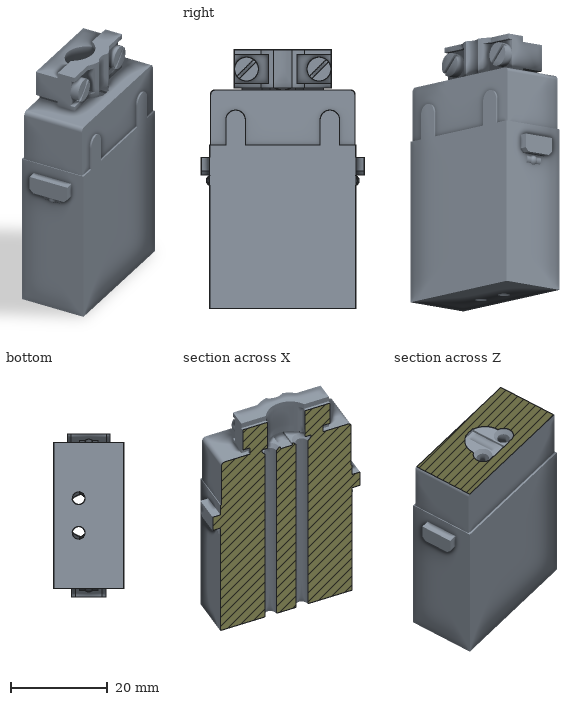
import cadquery as cq

HEIGHT = 53.65
CASE_X, CASE_Y, CASE_TOP = 14.6, 30.25, 33.9
BLOCK_X, BLOCK_Y, BLOCK_TOP = 13.75, 29.95, 45.3
BLOCK_FILLET = 0.9

CLAMP_Y = 20.1
CLAMP_LEFT = -BLOCK_X / 2
CLAMP_SPLIT = -1.65
CLAMP_RIGHT = 2.3
LOW_JAW_TOP, LOW_JAW_BOTTOM = 52.4, 46.85
HIGH_JAW_BOTTOM = 45.65
NECK_Y, NECK_RIGHT = 16.9, -1.9

BULGE_CENTER_X, BULGE_RADIUS = -3.6, 7.4
NOTCH_CENTER_X, NOTCH_RADIUS = 5.9, 3.0

LENS_HALF_Y = 4.4
LENS_LEFT, LENS_RIGHT = -5.0, 0.9
LEDGE_HEIGHT = 0.85

WELL_RADIUS = 4.2
WELL_DEPTH = 0.55
GROOVE_HALF_X, GROOVE_Y, GROOVE_DEPTH = 4.15, 2.65, 0.55
BORE_X, BORE_Y = -2.1, 3.6
BORE_RADIUS, SINK_RADIUS, SINK_DEPTH = 1.3, 2.0, 0.75

POCKET_FLOOR_X, POCKET_INNER_Y = 1.35, 2.95
POCKET_BOTTOM, POCKET_TOP = 46.6, 52.6
SCREW_Y, SCREW_RADIUS, SCREW_FACE_X = 7.5, 2.45, 3.15
SLOT_WIDTH, SLOT_DEPTH, SLOT_ANGLE = 0.7, 0.85, 45

TONGUE_Y, TONGUE_WIDTH, TONGUE_TOP = 9.75, 4.0, 41.1

LENGTH_OVER_TABS = 33.85
TAB_TOP, TAB_BOTTOM, TAB_CHAMFER = 31.35, 27.65, 0.8
FRONT_TAB_WIDTH, BACK_TAB_WIDTH = 8.9, 7.2
CATCH_Z, CATCH_LENGTH = 26.5, 3.75
CATCH_RADIUS, CATCH_INSET = 0.9, 0.55
BALL_RADIUS, BALL_INSET, BALL_WIDTH = 1.05, 0.4, 1.6


def box(x0, x1, y0, y1, z0, z1):
    """Box between two opposite corners."""
    return cq.Workplane("XY").box(x1 - x0, y1 - y0, z1 - z0, centered=False).translate((x0, y0, z0))


def beam(x0, x1, width, z0, z1):
    """Box centred across Y."""
    return box(x0, x1, -width / 2, width / 2, z0, z1)


def upright_cylinder(x, y, radius, z0, z1):
    return cq.Workplane("XY", origin=(x, y, z0)).circle(radius).extrude(z1 - z0)


def make_case_and_block():
    case = beam(-CASE_X / 2, CASE_X / 2, CASE_Y, 0, CASE_TOP)
    block = beam(-BLOCK_X / 2, BLOCK_X / 2, BLOCK_Y, 0, BLOCK_TOP)
    return case.union(block.edges("|X and >Z").fillet(BLOCK_FILLET))


def make_tongue(y):
    """Round-topped tongue rising from the case, flush with its +X side."""
    radius = TONGUE_WIDTH / 2
    center_z = TONGUE_TOP - radius
    stem = box(0, CASE_X / 2, y - radius, y + radius, 0, center_z)
    head = cq.Workplane("YZ").center(y, center_z).circle(radius).extrude(CASE_X / 2)
    return stem.union(head)


def make_clamp():
    low_jaw = beam(CLAMP_LEFT, CLAMP_SPLIT, CLAMP_Y, LOW_JAW_BOTTOM, LOW_JAW_TOP)
    high_jaw = beam(CLAMP_SPLIT, CLAMP_RIGHT, CLAMP_Y, HIGH_JAW_BOTTOM, HEIGHT)
    neck = beam(CLAMP_LEFT, NECK_RIGHT, NECK_Y, BLOCK_TOP, LOW_JAW_TOP)
    bulge = upright_cylinder(BULGE_CENTER_X, 0, BULGE_RADIUS, HIGH_JAW_BOTTOM, HEIGHT)
    bulge = bulge.intersect(beam(CLAMP_SPLIT, CASE_X / 2, CLAMP_Y, HIGH_JAW_BOTTOM, HEIGHT))
    notch = upright_cylinder(NOTCH_CENTER_X, 0, NOTCH_RADIUS, HIGH_JAW_BOTTOM, HEIGHT)
    return low_jaw.union(high_jaw).union(neck).union(bulge).cut(notch)


def make_pocket(side):
    """Pocket for one screw head, open at the end and at +X; side is +1 or -1 along Y."""
    near, far = sorted((side * POCKET_INNER_Y, side * CLAMP_Y / 2))
    return box(POCKET_FLOOR_X, CASE_X / 2, near, far, POCKET_BOTTOM, POCKET_TOP)


def make_screw(y):
    """Slotted screw head facing +X."""
    center_z = (POCKET_BOTTOM + POCKET_TOP) / 2
    head = cq.Workplane("YZ").circle(SCREW_RADIUS).extrude(SCREW_FACE_X)
    slot = beam(SCREW_FACE_X - SLOT_DEPTH, SCREW_FACE_X, 2 * SCREW_RADIUS, -SLOT_WIDTH / 2, SLOT_WIDTH / 2)
    slot = slot.rotate((0, 0, 0), (1, 0, 0), SLOT_ANGLE)
    return head.cut(slot).translate((0, y, center_z))


def make_cable_opening():
    """Lens-shaped opening, with a sloped ledge low on its left wall and an undercut at the seam."""
    floor = BLOCK_TOP - WELL_DEPTH
    lens = (
        cq.Workplane("XY", origin=(0, 0, floor))
        .moveTo(CLAMP_SPLIT, -LENS_HALF_Y)
        .threePointArc((LENS_RIGHT, 0), (CLAMP_SPLIT, LENS_HALF_Y))
        .threePointArc((LENS_LEFT, 0), (CLAMP_SPLIT, -LENS_HALF_Y))
        .close()
        .extrude(HEIGHT - floor)
    )
    sagitta = CLAMP_SPLIT - LENS_LEFT
    left_radius = (LENS_HALF_Y**2 + sagitta**2) / (2 * sagitta)
    left_center_x = LENS_LEFT + left_radius
    wall_x = -GROOVE_HALF_X
    ledge_top = BLOCK_TOP + LEDGE_HEIGHT
    ledge = (
        cq.Workplane("XY", origin=(left_center_x, 0, BLOCK_TOP))
        .circle(left_center_x - wall_x)
        .workplane(offset=LEDGE_HEIGHT)
        .circle(left_radius)
        .loft()
    )
    below_ledge = beam(wall_x, CASE_X / 2, CLAMP_Y, floor, ledge_top)
    above_ledge = beam(CLAMP_LEFT, CASE_X / 2, CLAMP_Y, ledge_top, HEIGHT)
    opening = lens.intersect(below_ledge.union(ledge).union(above_ledge))

    undercut = upright_cylinder(left_center_x, 0, left_radius, BLOCK_TOP, LOW_JAW_TOP)
    undercut = undercut.intersect(beam(CLAMP_SPLIT, left_center_x, CLAMP_Y, BLOCK_TOP, LOW_JAW_TOP))
    return opening.union(undercut)


def make_well():
    """Round well, groove across its floor and two countersunk through bores."""
    floor = BLOCK_TOP - WELL_DEPTH
    well = upright_cylinder(0, 0, WELL_RADIUS, floor, BLOCK_TOP)
    well = well.cut(beam(-CASE_X / 2, -GROOVE_HALF_X, CLAMP_Y, floor, BLOCK_TOP))
    groove = beam(-GROOVE_HALF_X, GROOVE_HALF_X, GROOVE_Y, floor - GROOVE_DEPTH, BLOCK_TOP)
    well = well.union(groove)
    for y in (-BORE_Y, BORE_Y):
        mouth = upright_cylinder(BORE_X, y, SINK_RADIUS, floor, BLOCK_TOP)
        sink = (
            cq.Workplane("XY", origin=(BORE_X, y, floor - SINK_DEPTH))
            .circle(BORE_RADIUS)
            .workplane(offset=SINK_DEPTH)
            .circle(SINK_RADIUS)
            .loft()
        )
        bore = upright_cylinder(BORE_X, y, BORE_RADIUS, 0, BLOCK_TOP)
        well = well.union(mouth).union(sink).union(bore)
    return well


def make_tab(side, width):
    """Latch tab on one end of the case; side is +1 or -1 along Y."""
    reach = (LENGTH_OVER_TABS - CASE_Y) / 2
    near, far = sorted((side * (CASE_Y / 2 - reach), side * (CASE_Y / 2 + reach)))
    tab = box(-width / 2, width / 2, near, far, TAB_BOTTOM, TAB_TOP)
    return tab.edges("|Y and <Z").chamfer(TAB_CHAMFER)


def make_catch(side):
    """Catch bar with a flat-sided ball in its middle, partly sunk in one end of the case."""
    half_length = CATCH_LENGTH / 2
    half_width = BALL_WIDTH / 2
    side_radius = (BALL_RADIUS**2 - half_width**2) ** 0.5
    bar = (
        cq.Workplane("YZ", origin=(-half_length, -CATCH_INSET, 0))
        .circle(CATCH_RADIUS)
        .extrude(CATCH_LENGTH)
    )
    ball = (
        cq.Workplane("XY")
        .moveTo(-half_width, 0)
        .lineTo(-half_width, side_radius)
        .threePointArc((0, BALL_RADIUS), (half_width, side_radius))
        .lineTo(half_width, 0)
        .close()
        .revolve(360, (0, 0), (1, 0))
        .translate((0, -BALL_INSET, 0))
    )
    catch = bar.union(ball).translate((0, CASE_Y / 2, CATCH_Z))
    return catch if side > 0 else catch.mirror("XZ")


body = make_case_and_block()
for y in (-TONGUE_Y, TONGUE_Y):
    body = body.union(make_tongue(y))

clamp = make_clamp()
for side in (-1, 1):
    clamp = clamp.cut(make_pocket(side)).union(make_screw(side * SCREW_Y))

body = body.union(clamp).cut(make_cable_opening()).cut(make_well())
for side, tab_width in ((-1, FRONT_TAB_WIDTH), (1, BACK_TAB_WIDTH)):
    body = body.union(make_tab(side, tab_width)).union(make_catch(side))
result = body